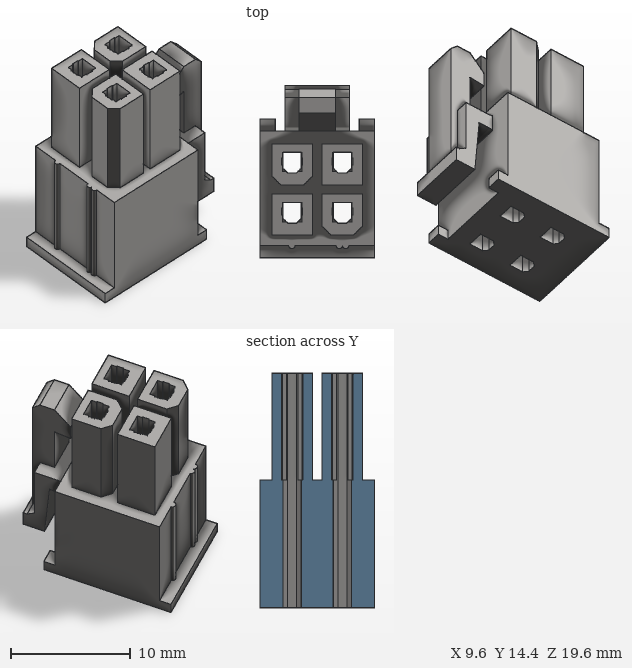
import cadquery as cq

total_height = 19.6
width = 9.6

flange_depth = 11.6
flange_height = 1.05
flange_tab_width = 1.31

body_front = 1.04
body_back = 10.6
body_top = 10.68

tower_size = 3.41
tower_pitch = 4.17
tower_center_y = 5.7
tower_chamfer = 0.75

cavity_pitch = 4.2
cavity_offset_y = 0.2
cavity_center_y = tower_center_y + cavity_offset_y
mouth_size = 1.6
notch_span = 1.76
notch_length = 0.59
notch_offset_y = 0.05
passage_width = 1.49
passage_front_reach = 0.9
passage_chamfer = 0.37

rib_radius = 0.27
rib_centers_x = (-2.12, 1.85, 2.37)

arm_width = 3.02
arm_outer_y = 14.1
arm_inner_y = 12.07
arm_top = 17.0
arm_chamfer = 0.69
hook_shoulder_z = 15.46
hook_tip_z = 13.97
hook_root_z = 14.13

lever_width = 5.39
lever_outer_y = 13.39
lever_underside_y = 12.01
lever_top = 9.5
bridge_bottom = 7.95
lever_bottom = 2.25
lever_toe_y = 12.47
pad_outer_y = 14.4
pad_top = 3.75
pad_ramp_foot_y = 14.05
pad_ramp_top = 4.2
bridge_flare_length = 0.27
bridge_flare_rise = 0.08


def block(x_size, y_min, y_max, z_min, z_max):
    """Box centred on X = 0."""
    corner = (-x_size / 2, y_min, z_min)
    return cq.Workplane("XY").box(x_size, y_max - y_min, z_max - z_min, centered=False).translate(corner)


def side_profile(points, x_size):
    """Closed (Y, Z) outline extruded symmetrically about X = 0."""
    return cq.Workplane("YZ").polyline(points).close().extrude(x_size / 2, both=True)


def make_housing():
    flange = block(width, 0, flange_depth, 0, flange_height)
    notch = block(width - 2 * flange_tab_width, body_back, flange_depth, 0, flange_height)
    body = block(width, body_front, body_back, 0, body_top)
    housing = flange.cut(notch).union(body)
    for rib_x in rib_centers_x:
        rib = cq.Workplane("XY").center(rib_x, body_front).circle(rib_radius).extrude(body_top)
        housing = housing.union(rib)
    return housing


def make_tower(column, row):
    """Tower at column and row -1 or +1; those on one diagonal have chamfered front corners."""
    tower = (
        cq.Workplane("XY", origin=(column * tower_pitch / 2, tower_center_y + row * tower_pitch / 2, 0))
        .rect(tower_size, tower_size)
        .extrude(total_height)
    )
    if column != row:
        tower = tower.edges("|Z and <Y").chamfer(tower_chamfer)
    return tower


def make_cavity(column, row):
    """Passage through the whole part, widened inside the tower by a square, side-notched mouth."""
    center_x = column * cavity_pitch / 2
    center_y = cavity_center_y + row * cavity_pitch / 2
    half_mouth = mouth_size / 2
    half_notch = notch_length / 2

    passage = block(passage_width, -passage_front_reach, half_mouth, 0, total_height)
    passage = passage.edges("|Z and <Y").chamfer(passage_chamfer)
    mouth = block(mouth_size, -half_mouth, half_mouth, body_top, total_height)
    notches = block(
        notch_span, notch_offset_y - half_notch, notch_offset_y + half_notch, body_top, total_height
    )
    return passage.union(mouth).union(notches).translate((center_x, center_y, 0))


def make_latch():
    arm = side_profile(
        [
            (arm_outer_y, pad_top),
            (arm_outer_y, arm_top - arm_chamfer),
            (arm_outer_y - arm_chamfer, arm_top),
            (arm_inner_y, arm_top),
            (body_back, hook_shoulder_z),
            (body_back, hook_tip_z),
            (arm_inner_y, hook_root_z),
            (arm_inner_y, lever_top),
            (lever_outer_y, pad_top),
        ],
        arm_width,
    )
    lever = side_profile(
        [
            (body_back, lever_top + bridge_flare_rise),
            (body_back + bridge_flare_length, lever_top),
            (lever_outer_y, lever_top),
            (lever_outer_y, pad_ramp_top),
            (pad_ramp_foot_y, pad_top),
            (pad_outer_y, pad_top),
            (pad_outer_y, lever_bottom),
            (lever_toe_y, lever_bottom),
            (lever_underside_y, bridge_bottom),
            (body_back + bridge_flare_length, bridge_bottom),
            (body_back, bridge_bottom - bridge_flare_rise),
        ],
        lever_width,
    )
    return arm.union(lever)


result = make_housing().union(make_latch())
positions = [(column, row) for column in (-1, 1) for row in (-1, 1)]
for column, row in positions:
    result = result.union(make_tower(column, row))
for column, row in positions:
    result = result.cut(make_cavity(column, row))